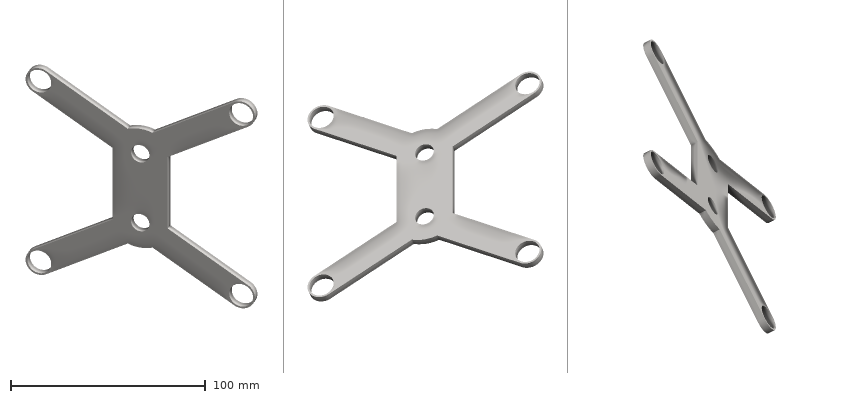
import cadquery as cq
import math

length_x = 125.0
length_z = 120.0
thickness = 4.0

tip_diameter = 15.0
tip_hole_diameter = 13.0
arm_angle = 30.0
tip_x = (length_x - tip_diameter) / 2
tip_z = (length_z - tip_diameter) / 2

body_width = 30.0
body_height = 69.0
body_end_radius = 20.0
body_hole_diameter = 10.0
body_hole_spacing = 40.0

arm_root_z = tip_z - tip_x * math.tan(math.radians(arm_angle))
arm_length = tip_x / math.cos(math.radians(arm_angle))


def plate_sketch():
    """Plane with local x along X and local y along Z, on the rear (+Y) face."""
    return cq.Workplane("XZ", origin=(0, thickness / 2, 0))


def make_body():
    """Upright plate whose top and bottom edges are shallow arcs."""
    half_width = body_width / 2
    top_z = body_height / 2
    arc_rise = body_end_radius - math.sqrt(body_end_radius**2 - half_width**2)
    shoulder_z = top_z - arc_rise
    return (
        plate_sketch()
        .moveTo(half_width, -shoulder_z)
        .lineTo(half_width, shoulder_z)
        .threePointArc((0, top_z), (-half_width, shoulder_z))
        .lineTo(-half_width, -shoulder_z)
        .threePointArc((0, -top_z), (half_width, -shoulder_z))
        .close()
        .extrude(thickness)
    )


def make_arm(side_x, side_z):
    """Straight arm from the body out to a round tip in the given quadrant."""
    middle = (side_x * tip_x / 2, side_z * (arm_root_z + tip_z) / 2)
    return (
        plate_sketch()
        .center(*middle)
        .slot2D(arm_length + tip_diameter, tip_diameter, side_x * side_z * arm_angle)
        .extrude(thickness)
    )


def make_holes(centers, diameter):
    """Through-hole cutters at the given (x, z) centres."""
    return (
        plate_sketch()
        .pushPoints(centers)
        .circle(diameter / 2)
        .extrude(thickness)
    )


quadrants = [(sx, sz) for sx in (-1, 1) for sz in (-1, 1)]
tip_centers = [(sx * tip_x, sz * tip_z) for sx, sz in quadrants]
body_hole_centers = [(0, sz * body_hole_spacing / 2) for sz in (-1, 1)]

plate = make_body()
for side_x, side_z in quadrants:
    plate = plate.union(make_arm(side_x, side_z))

plate = plate.cut(make_holes(tip_centers, tip_hole_diameter))
result = plate.cut(make_holes(body_hole_centers, body_hole_diameter)).clean()